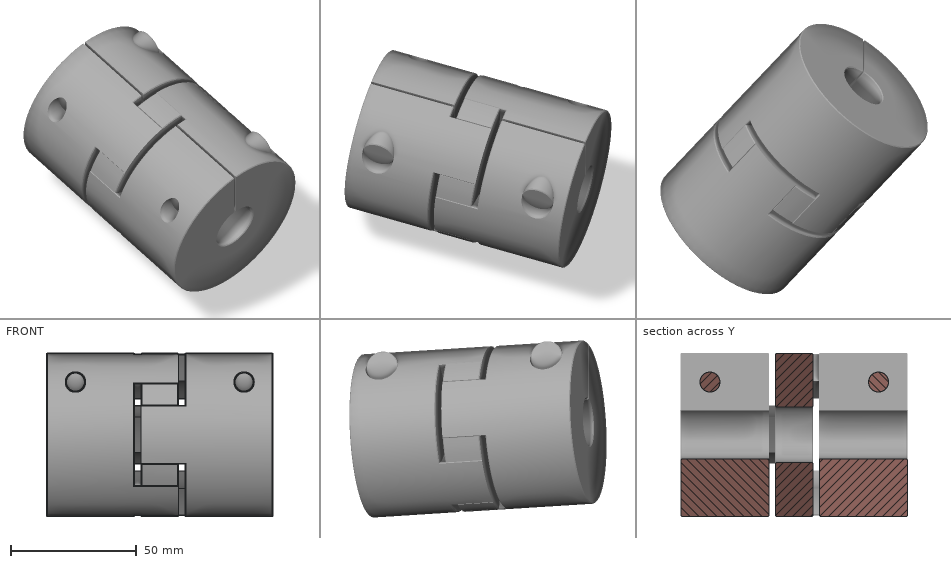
import cadquery as cq
import math


length = 90.0
outer_radius = 32.5
edge_chamfer = 0.4

hub_length = 35.0
bore_radius = 9.5
slit_width = 1.0

jaw_count = 3
leg_count = 2 * jaw_count
pitch_angle = 360 / leg_count
jaw_inner_radius = 21.8
jaw_overshoot = 0.9
spider_width = 14.9
spider_bore_radius = 11.0

leg_half_width = 5.3
barrel_radius = 20.7
barrel_station = 28.1

screw_radius = 4.05
screw_tip_chamfer = 0.45
screw_offset = 33.5
screw_height = 21.0
screw_shank_length = 36.9
head_radius = 6.5
head_length = 8.0
head_top = 24.4

jaw_reach_radius = outer_radius + jaw_overshoot
half_width = spider_width / 2
face_position = length / 2 - hub_length
head_seat = head_top - head_length
screw_tip = head_seat - screw_shank_length

tolerance = 0.01


def polar_point(radius, angle):
    """Point (Y, Z) at a radius and an angle in degrees about the coupling axis."""
    return (radius * math.cos(math.radians(angle)), radius * math.sin(math.radians(angle)))


def jaw_half_angle(radius):
    """Half angle of a jaw, in degrees, where its flank crosses the given radius."""
    barrel_drop = barrel_radius - leg_half_width
    centre_distance = math.hypot(barrel_station, barrel_drop)
    cosine = (centre_distance**2 + radius**2 - barrel_radius**2) / (2 * centre_distance * radius)
    leg_half_angle = math.degrees(math.acos(cosine) - math.atan2(barrel_drop, barrel_station))
    return pitch_angle / 2 - leg_half_angle


def jaw_block(angle, x_start, x_end):
    """Ring sector with hollow flanks, centred on an angle and reaching past the outside of the coupling."""
    mid_radius = (jaw_inner_radius + jaw_reach_radius) / 2

    def flank_point(radius, side):
        return polar_point(radius, angle + side * jaw_half_angle(radius))

    return (
        cq.Workplane("YZ", origin=(x_start, 0, 0))
        .moveTo(*flank_point(jaw_inner_radius, -1))
        .threePointArc(flank_point(mid_radius, -1), flank_point(jaw_reach_radius, -1))
        .threePointArc(polar_point(jaw_reach_radius, angle), flank_point(jaw_reach_radius, 1))
        .threePointArc(flank_point(mid_radius, 1), flank_point(jaw_inner_radius, 1))
        .threePointArc(polar_point(jaw_inner_radius, angle), flank_point(jaw_inner_radius, -1))
        .close()
        .extrude(x_end - x_start)
    )


def y_cylinder(radius, x, y_start, y_end):
    """Cylinder along Y on the screw line at the given X."""
    return cq.Workplane("XZ", origin=(x, y_start, screw_height)).circle(radius).extrude(y_start - y_end)


def jaw_spaces(first_jaw_angle):
    """Everything to be removed around the jaws, from the hub face to the jaw tips."""
    jaw_tip = half_width
    spaces = cq.Workplane("YZ", origin=(-face_position, 0, 0)).circle(jaw_reach_radius)
    spaces = spaces.extrude(face_position + jaw_tip)
    for i in range(jaw_count):
        spaces = spaces.cut(jaw_block(first_jaw_angle + 2 * pitch_angle * i, -face_position, jaw_tip))
    return spaces


def break_jaw_edges(hub):
    """Chamfer the outer edges of the jaw flanks and of the hub face between the jaws."""
    edges = []
    for edge in hub.edges().vals():
        middle = edge.positionAt(0.5)
        on_outside = abs(math.hypot(middle.y, middle.z) - outer_radius) < tolerance
        before_tip = -face_position - tolerance < middle.x < half_width - tolerance
        if on_outside and before_tip:
            edges.append(edge)
    return hub.newObject(edges).chamfer(edge_chamfer)


def make_hub(first_jaw_angle):
    """Hub at the -X end, its jaws reaching to the far side of the spider."""
    blank = cq.Workplane("YZ", origin=(-length / 2, 0, 0)).circle(outer_radius)
    hub = blank.extrude(length / 2 + half_width)
    hub = break_jaw_edges(hub.cut(jaw_spaces(first_jaw_angle)))
    hub = hub.faces("<X").edges().chamfer(edge_chamfer)

    bore = cq.Workplane("YZ", origin=(-length / 2, 0, 0)).circle(bore_radius).extrude(hub_length)
    hub = hub.cut(bore)
    hub = hub.faces("<X").edges(cq.selectors.RadiusNthSelector(0)).chamfer(edge_chamfer)

    slit = cq.Workplane("XY").box(hub_length, slit_width, outer_radius, centered=(False, True, False))
    hub = hub.cut(slit.translate((-length / 2, 0, 0)))

    hub = hub.cut(y_cylinder(screw_radius, -screw_offset, -outer_radius, outer_radius))
    return hub.cut(y_cylinder(head_radius, -screw_offset, head_seat, outer_radius))


def make_spider():
    """Elastic ring with barrel-shaped legs that fill the spaces between the jaws."""
    spider = (
        cq.Workplane("YZ", origin=(-half_width, 0, 0))
        .circle(outer_radius)
        .circle(spider_bore_radius)
        .extrude(spider_width)
        .faces("<X or >X")
        .edges()
        .chamfer(edge_chamfer)
    )
    for i in range(leg_count):
        spider = spider.cut(jaw_block(pitch_angle * i, -half_width, half_width))
    return spider


def make_screw(x):
    """Cap screw with its head on the +Y side."""
    head = y_cylinder(head_radius, x, head_seat, head_top).faces(">Y").edges().chamfer(edge_chamfer)
    shank = y_cylinder(screw_radius, x, screw_tip, head_seat).faces("<Y").edges().chamfer(screw_tip_chamfer)
    return head.union(shank)


left_hub = make_hub(0)
right_hub = make_hub(pitch_angle).mirror("YZ")
spider = make_spider()
screws = [make_screw(side * screw_offset) for side in (-1, 1)]

result = cq.Compound.makeCompound(
    [left_hub.val(), right_hub.val(), spider.val(), *[screw.val() for screw in screws]]
)